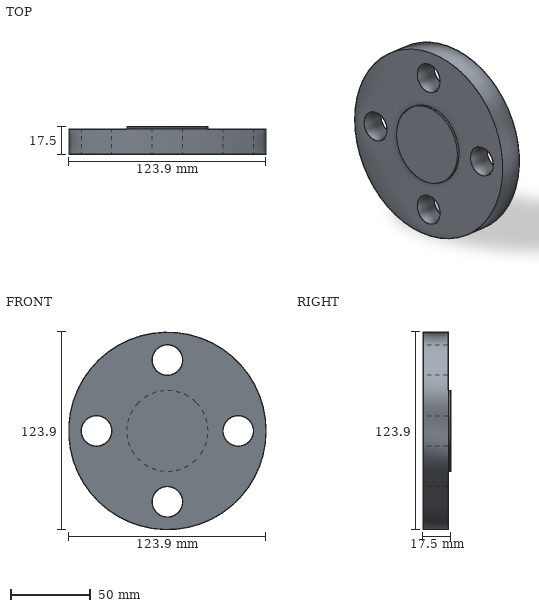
import cadquery as cq

flange_diameter = 123.9
overall_thickness = 17.5
raised_face_diameter = 50.8
raised_face_height = 1.6
disc_thickness = overall_thickness - raised_face_height

bolt_hole_count = 4
bolt_hole_diameter = 19.0
bolt_circle_diameter = 88.9


def cylinder_along_y(diameter, start_y, length):
    """Solid cylinder on the Y axis, growing from start_y toward +Y."""
    plane = cq.Workplane("XZ").workplane(offset=-start_y)
    return plane.circle(diameter / 2).extrude(-length)


def bolt_holes():
    """Through-hole cutters spaced evenly on the bolt circle."""
    return (
        cq.Workplane("XZ")
        .polarArray(bolt_circle_diameter / 2, 0, 360, bolt_hole_count)
        .circle(bolt_hole_diameter / 2)
        .extrude(-disc_thickness)
    )


disc = cylinder_along_y(flange_diameter, 0, disc_thickness)
raised_face = cylinder_along_y(raised_face_diameter, disc_thickness, raised_face_height)

result = disc.union(raised_face).cut(bolt_holes())